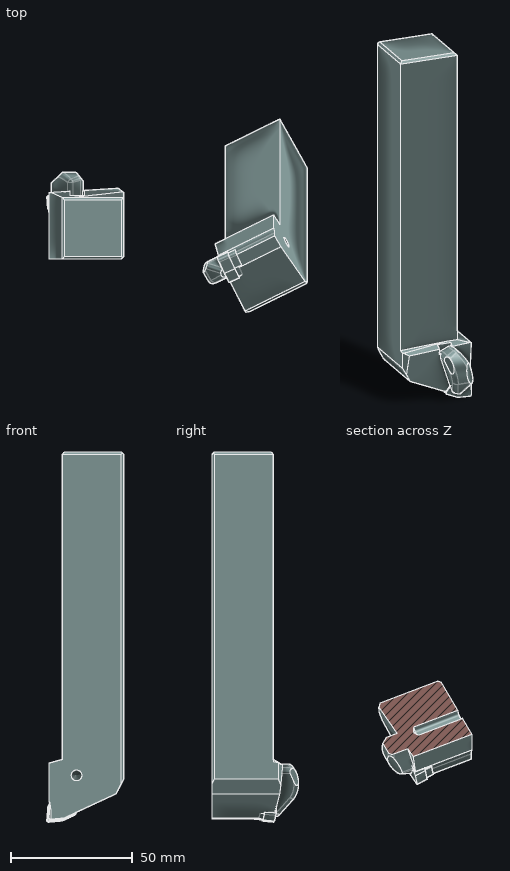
import cadquery as cq
import math


shank_size = 25.4
tool_length = 152.4
tool_width = 31.75
shank_left = tool_width - shank_size
end_chamfer = 1.0
edge_chamfer = 1.1

head_left = 0.9
shoulder_outer_z = 24.4
shoulder_inner_z = 25.9
heel_corner = (28.6, 11.7)
heel_top_z = 17.8
toe_corner = (7.3, 1.8)
toe_left_z = 1.3
relief_x = 1.7
relief_top_z = 8.7
relief_straight_top_z = 5.0

rake_slope_x = 0.068
rake_slope_z = 0.1
rake_origin_y = 24.85
ramp_slope = 0.62
facet_start_x = 11.2
facet_line_slope = 0.113
facet_slope = 0.2
corner_inner = (29.2, 29.4)
corner_outer = (tool_width, 27.4)
head_stock_y = 32.0

screw_center = (12.3, 19.3)
screw_diameter = 4.4
screw_depth = 20.0
drill_tip_angle = 118.0

inscribed_diameter = 9.525
insert_thickness = 4.76
shim_thickness = 3.18
shim_inset = 0.4
nose_radius = 0.8
TRIGON_POINTS = 6
corner_angle = 80.0
lead_angle = 5.0
insert_rise = 0.5
corner_overshoot = 0.075

clamp_top_y = 35.8
clamp_bottom_y = 26.2
clamp_crown_z = 16.0
clamp_crown_radius = 11.0
clamp_crown_back_z = 26.0
clamp_crown_front_z = 9.6
clamp_nose_top = (26.0, 1.0)
clamp_nose_bottom_y = 25.0

clamp_back_z = 24.4
clamp_back_left = 9.6
clamp_back_right = (15.6, 21.8)
clamp_nose_right = (9.0, 3.5)
clamp_nose_left = (5.0, 2.2)
clamp_side_left = (1.8, 9.5)
clamp_side_middle = (4.6, 17.8)
clamp_edge_round = 2.0
clamp_round_from_y = 28.0

clamp_left_bevel = ((2.2, 31.6), (6.2, 35.4))
clamp_right_bevel = ((15.2, 32.0), (12.6, 35.2))

pocket_floor_z = clamp_back_right[1]

CUT_REACH = 200.0


def half_space(point, normal):
    """A large block on the side of a plane that its normal points to."""
    return cq.Workplane(cq.Plane(origin=point, normal=normal)).rect(CUT_REACH, CUT_REACH).extrude(CUT_REACH)


def make_shank():
    """Square shank, sunk into the head down to the top of the heel."""
    shank_height = tool_length - heel_top_z
    shank = cq.Workplane("XY").box(shank_size, shank_size, shank_height, centered=False)
    shank = shank.translate((shank_left, 0, heel_top_z))
    return shank.faces(">Z").chamfer(end_chamfer)


def make_head():
    """Head block with its flank relief, cut down on the rake side by four flat faces."""
    relief_depth = relief_x - head_left
    relief_height = relief_top_z - relief_straight_top_z
    relief_radius = (relief_height**2 + relief_depth**2) / (2 * relief_depth)
    arc_angle = math.asin(relief_height / relief_radius) / 2
    arc_middle = (
        relief_x - relief_radius * (1 - math.cos(arc_angle)),
        relief_straight_top_z + relief_radius * math.sin(arc_angle),
    )
    head = (
        cq.Workplane("XZ")
        .moveTo(relief_x, toe_left_z)
        .lineTo(*toe_corner)
        .lineTo(*heel_corner)
        .lineTo(tool_width, heel_top_z)
        .lineTo(tool_width, shoulder_inner_z)
        .lineTo(shank_left, shoulder_inner_z)
        .lineTo(head_left, shoulder_outer_z)
        .lineTo(head_left, relief_top_z)
        .threePointArc(arc_middle, (relief_x, relief_straight_top_z))
        .close()
        .extrude(-head_stock_y)
    )
    head = head.cut(half_space((0, rake_origin_y, 0), (-rake_slope_x, 1, -rake_slope_z)))
    ramp_start = (facet_start_x, shank_size, shoulder_inner_z)
    facet_slope_x = facet_line_slope * (ramp_slope - facet_slope)
    above_shank_face = half_space((0, shank_size, 0), (0, 1, 0))
    ramp = half_space(ramp_start, (0, ramp_slope, 1))
    facet = half_space(ramp_start, (facet_slope_x, facet_slope, 1))
    head = head.cut(ramp.intersect(above_shank_face)).cut(facet.intersect(above_shank_face))
    bevel_normal = (corner_inner[1] - corner_outer[1], corner_outer[0] - corner_inner[0], 0)
    return head.cut(half_space((*corner_outer, 0), bevel_normal))


def make_edge_bevel():
    """Waste along the right edge of the back face, from the heel to the top."""
    corner = [
        (tool_width - edge_chamfer, 0),
        (tool_width, 0),
        (tool_width, edge_chamfer),
    ]
    return cq.Workplane("XY").polyline(corner).close().extrude(tool_length)


def make_clamp_pocket():
    """Relief in the ramp behind the clamp, leaving its back wall open down to its foot."""
    width = clamp_back_right[0] - clamp_back_left
    depth = head_stock_y - clamp_bottom_y
    height = shoulder_inner_z - pocket_floor_z
    pocket = cq.Workplane("XY").box(width, depth, height, centered=False)
    return pocket.translate((clamp_back_left, clamp_bottom_y, pocket_floor_z))


def trigon_prism(inset, top_depth, thickness):
    """A six-sided trigon with rounded 80-degree corners, lying in the tilted seat."""
    full_radius = inscribed_diameter / 2
    inner_radius = full_radius - inset
    half_corner = math.radians(corner_angle / 2)
    corner_reach = inner_radius / math.sin(half_corner)
    blunt_reach = inner_radius / math.sin(math.radians(corner_angle))
    center_reach = full_radius / math.sin(half_corner)
    tip_direction = 90 - lead_angle - corner_angle / 2
    center = (
        center_reach * math.cos(math.radians(tip_direction)),
        center_reach * math.sin(math.radians(tip_direction)),
    )
    points = []
    for index in range(TRIGON_POINTS):
        reach = blunt_reach if index % 2 else corner_reach
        angle = math.radians(tip_direction + 180 + 360 / TRIGON_POINTS * index)
        points.append((center[0] + reach * math.cos(angle), center[1] + reach * math.sin(angle)))
    seat = cq.Plane(
        origin=(-corner_overshoot, rake_origin_y + insert_rise, -corner_overshoot),
        xDir=(1, rake_slope_x, 0),
        normal=(rake_slope_x, -1, rake_slope_z),
    )
    prism = cq.Workplane(seat).workplane(offset=top_depth).polyline(points).close().extrude(thickness)
    corner_edges = prism.edges(cq.selectors.ParallelDirSelector(seat.zDir)).vals()
    nose_edges = []
    for edge in corner_edges:
        position = seat.toLocalCoords(edge.Center())
        distance = math.hypot(position.x - center[0], position.y - center[1])
        if distance > (corner_reach + blunt_reach) / 2:
            nose_edges.append(edge)
    return prism.newObject(nose_edges).fillet(nose_radius)


def make_screw_hole():
    """Blind hole with a conical drill end."""
    radius = screw_diameter / 2
    cone_depth = radius / math.tan(math.radians(drill_tip_angle / 2))
    profile = [(0, 0), (radius, 0), (radius, screw_depth), (0, screw_depth + cone_depth)]
    hole = cq.Workplane("XY").polyline(profile).close().revolve(360, (0, 0), (0, 1))
    return hole.translate((screw_center[0], 0, screw_center[1]))


def make_clamp():
    """The clamp is the common part of its side and plan outlines, with its crown rounded over."""

    def crown_point(z):
        sag = clamp_crown_radius - math.sqrt(clamp_crown_radius**2 - (z - clamp_crown_z) ** 2)
        return (clamp_top_y - sag, z)

    crown_back = crown_point(clamp_crown_back_z)
    side = (
        cq.Workplane("YZ")
        .moveTo(clamp_bottom_y, clamp_crown_back_z)
        .lineTo(*crown_back)
        .threePointArc((clamp_top_y, clamp_crown_z), crown_point(clamp_crown_front_z))
        .lineTo(*clamp_nose_top)
        .lineTo(clamp_nose_bottom_y, clamp_nose_top[1])
        .close()
        .extrude(CUT_REACH)
    )
    back_left = (clamp_back_left, clamp_back_z)
    plan = (
        cq.Workplane("XZ")
        .moveTo(*back_left)
        .lineTo(*clamp_back_right)
        .lineTo(*clamp_nose_right)
        .lineTo(*clamp_nose_left)
        .lineTo(*clamp_side_left)
        .threePointArc(clamp_side_middle, back_left)
        .close()
        .extrude(-CUT_REACH)
    )
    clamp = side.intersect(plan)
    crown_box = cq.selectors.BoxSelector((0, clamp_round_from_y, 0), (tool_width, CUT_REACH, CUT_REACH))
    clamp = clamp.edges(crown_box).fillet(clamp_edge_round)
    for low_end, high_end in (clamp_left_bevel, clamp_right_bevel):
        outward = math.copysign(1, low_end[0] - high_end[0])
        normal = (outward * (high_end[1] - low_end[1]), abs(high_end[0] - low_end[0]), 0)
        clamp = clamp.cut(half_space((*low_end, 0), normal))
    return clamp


insert = trigon_prism(inset=0, top_depth=0, thickness=insert_thickness)
shim = trigon_prism(shim_inset, insert_thickness, shim_thickness)

holder = make_shank().union(make_head()).cut(make_edge_bevel()).cut(make_clamp_pocket())
holder = holder.union(shim).union(make_clamp()).cut(insert).cut(make_screw_hole())

result = cq.Compound.makeCompound([holder.val(), insert.val()])